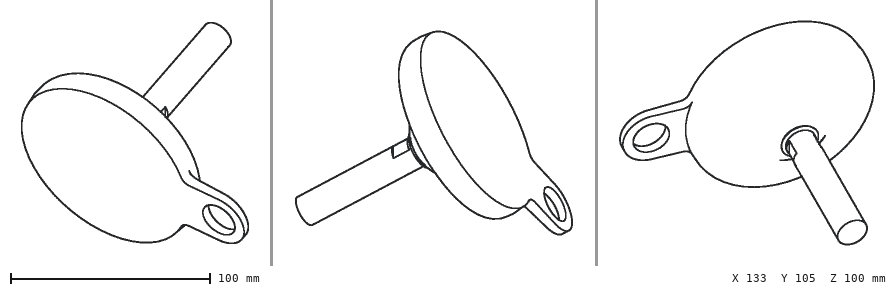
import cadquery as cq
import math

total_height = 105.0

pad_radius = 50.0
sole_radius = 49.2
rim_draft_height = 6.3
rim_top_radius = 49.8
rim_top = 9.3
shoulder_radius = 7.0
cone_slope = math.radians(20)
cone_top = 23.9

dome_radius = 25.6
dome_center = 10.1
dome_base = 25.5
lip_base = 33.9
lip_rim_height = 34.8
lip_rim_radius = 10.0
lip_top = 35.3
lip_top_radius = 8.3

eye_offset = 68.0
eye_diameter = 19.0
tab_radius = 15.0
tab_end_thickness = 4.0
tab_slope = math.radians(3.2)
tab_fillet = 5.0

stud_diameter = 16.0
stud_base = 35.6
spigot_radius = 7.0
spigot_base = 24.0
flat_bottom = 36.9
flat_top = 46.4
across_flats = 13.0


def dome_radius_at(height):
    """Radius of the dome surface at a given height."""
    return math.sqrt(dome_radius**2 - (height - dome_center) ** 2)


def make_revolved_pad():
    """Rim, rounded shoulder, cone, dome and lip turned about the foot axis."""
    shoulder_center = rim_top_radius - shoulder_radius

    def shoulder_point(angle):
        return (
            shoulder_center + shoulder_radius * math.cos(angle),
            rim_top + shoulder_radius * math.sin(angle),
        )

    shoulder_end_angle = math.pi / 2 - cone_slope
    shoulder_end = shoulder_point(shoulder_end_angle)
    cone_top_radius = shoulder_end[0] - (cone_top - shoulder_end[1]) / math.tan(cone_slope)
    dome_base_radius = dome_radius_at(dome_base)
    dome_middle = (dome_base + lip_base) / 2
    lip_base_radius = dome_radius_at(lip_base)

    return (
        cq.Workplane("XY")
        .moveTo(0, 0)
        .lineTo(sole_radius, 0)
        .lineTo(pad_radius, rim_draft_height)
        .lineTo(rim_top_radius, rim_top)
        .threePointArc(shoulder_point(shoulder_end_angle / 2), shoulder_end)
        .lineTo(cone_top_radius, cone_top)
        .tangentArcPoint((dome_base_radius, dome_base), relative=False)
        .threePointArc((dome_radius_at(dome_middle), dome_middle), (lip_base_radius, lip_base))
        .lineTo(lip_rim_radius, lip_rim_height)
        .lineTo(lip_top_radius, lip_top)
        .lineTo(0, lip_top)
        .close()
        .revolve(360, (0, 0, 0), (0, 1, 0))
    )


def make_tab():
    """Round-ended tab whose upper face slopes down towards the eye."""
    tab_end = eye_offset + tab_radius
    root_thickness = tab_end_thickness + tab_end * math.tan(tab_slope)
    wedge = (
        cq.Workplane("XY")
        .polyline([(0, 0), (tab_end, 0), (tab_end, tab_end_thickness), (0, root_thickness)])
        .close()
        .extrude(tab_radius, both=True)
    )
    outline = (
        cq.Workplane("XZ")
        .moveTo(0, -tab_radius)
        .lineTo(eye_offset, -tab_radius)
        .threePointArc((tab_end, 0), (eye_offset, tab_radius))
        .lineTo(0, tab_radius)
        .close()
        .extrude(-root_thickness)
    )
    return wedge.intersect(outline)


def make_pad():
    """Turned pad with its tab, eye hole and blind socket for the stud."""
    pad = make_revolved_pad().union(make_tab())

    corner_x = math.sqrt(sole_radius**2 - tab_radius**2)
    for side in (-1, 1):
        corner = (corner_x, tab_end_thickness / 2, side * tab_radius)
        pad = pad.edges(cq.selectors.NearestToPointSelector(corner)).fillet(tab_fillet)

    eye = (
        cq.Workplane("XZ")
        .center(eye_offset, 0)
        .circle(eye_diameter / 2)
        .extrude(-total_height)
    )
    socket = (
        cq.Workplane("XZ", origin=(0, spigot_base, 0))
        .circle(spigot_radius)
        .extrude(spigot_base - total_height)
    )
    return pad.cut(eye).cut(socket).solids()


def make_stud():
    """Round stud with two wrench flats and a spigot seated in the pad's socket."""
    shank = (
        cq.Workplane("XZ", origin=(0, stud_base, 0))
        .circle(stud_diameter / 2)
        .extrude(stud_base - total_height)
    )
    spigot = (
        cq.Workplane("XZ", origin=(0, spigot_base, 0))
        .circle(spigot_radius)
        .extrude(spigot_base - stud_base)
    )
    stud = shank.union(spigot)

    flat_length = flat_top - flat_bottom
    for side in (-1, 1):
        cutter_x = side * (across_flats + stud_diameter) / 2
        flat_cutter = (
            cq.Workplane("XY")
            .box(stud_diameter, flat_length, stud_diameter)
            .translate((cutter_x, flat_bottom + flat_length / 2, 0))
        )
        stud = stud.cut(flat_cutter)
    return stud.solids()


pad = make_pad()
stud = make_stud()

result = cq.Compound.makeCompound([pad.val(), stud.val()])